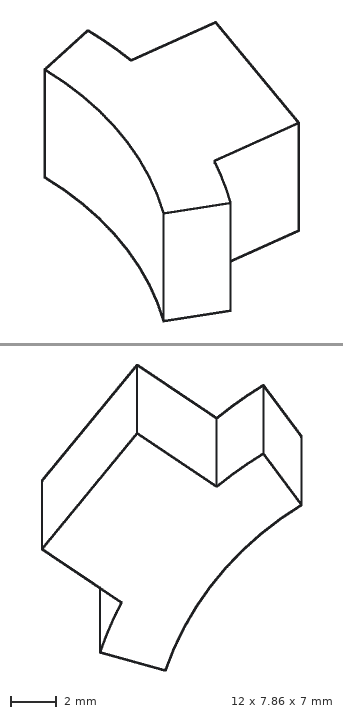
import cadquery as cq
import math

overall_width = 12.0
outer_radius = 18.0
inner_radius = 15.0
height = 7.0
block_width = height
block_back = 22.0

half_angle = math.asin(overall_width / 2 / outer_radius)


def arc_point(radius, angle):
    """Point at an angle from the +Y direction, positive towards +X."""
    return (radius * math.sin(angle), radius * math.cos(angle))


def curved_plate():
    return (
        cq.Workplane("XY")
        .moveTo(*arc_point(inner_radius, -half_angle))
        .threePointArc(arc_point(inner_radius, 0), arc_point(inner_radius, half_angle))
        .lineTo(*arc_point(outer_radius, half_angle))
        .threePointArc(arc_point(outer_radius, 0), arc_point(outer_radius, -half_angle))
        .close()
        .extrude(height)
    )


def block():
    block_front = (inner_radius + outer_radius) / 2
    block_depth = block_back - block_front
    return (
        cq.Workplane("XY")
        .center(0, block_front + block_depth / 2)
        .rect(block_width, block_depth)
        .extrude(height)
    )


result = curved_plate().union(block())